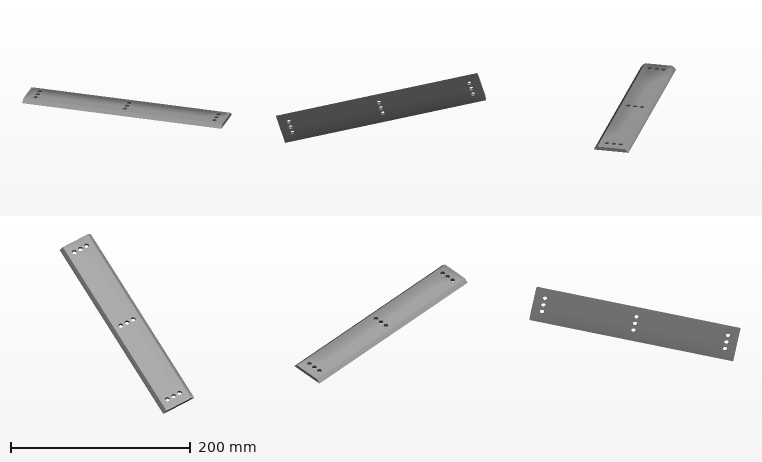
import cadquery as cq

length = 232.0
width = 40.0
thickness = 4.0

bevel_width = 4.2

hole_diameter = 5.0
end_margin = 11.8
column_pitch = length / 2 - end_margin
row_pitch = 8.0


def bevelled_strip():
    """Trapezoidal bar, centred in X and Y, resting on Z = 0."""
    bottom_y = width / 2
    top_y = bottom_y - bevel_width
    profile = [
        (-bottom_y, 0),
        (bottom_y, 0),
        (top_y, thickness),
        (-top_y, thickness),
    ]
    return (
        cq.Workplane("YZ")
        .workplane(offset=-length / 2)
        .polyline(profile)
        .close()
        .extrude(length)
    )


def hole_cutters():
    """Cylinders for the hole grid, as tall as the strip."""
    return (
        cq.Workplane("XY")
        .rarray(column_pitch, row_pitch, 3, 3)
        .circle(hole_diameter / 2)
        .extrude(thickness)
    )


result = bevelled_strip().cut(hole_cutters())